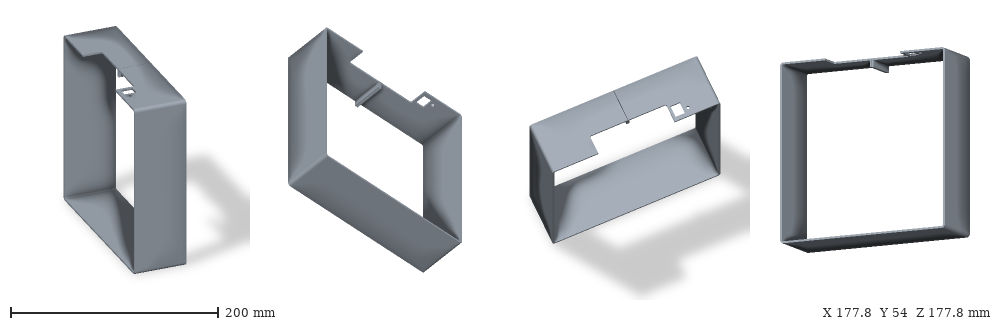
import cadquery as cq

side = 177.8
depth = 54.0
wall = 2.0
outer_radius = 3.4
inner_radius = outer_radius - wall

gap = 0.5
flange_thickness = 1.51
flange_drop = 8.5

notch_width = 80.9
notch_depth = 20.0
notch_radius = 2.0
window_width = 10.1
window_length = 12.3
window_x = 48.4
window_from_front = 10.3
hole_diameter = 3.4
hole_x = 58.1
hole_from_front = 8.2

top = side / 2
front = -depth / 2
cut_height = 4 * flange_drop


def rounded_block(width, radius):
    """Square block centred on the origin, with its edges along Y rounded."""
    return cq.Workplane("XY").box(width, depth, width).edges("|Y").fillet(radius)


def top_cutter(width, length, x, y):
    """Rectangular block that passes through the top wall at (x, y)."""
    return cq.Workplane("XY").box(width, length, cut_height).translate((x, y, top))


def flanges():
    """Solid web below the top wall, later split by the gap into two flanges."""
    width = gap + 2 * flange_thickness
    height = flange_drop - wall / 2
    web = cq.Workplane("XY").box(width, depth, height)
    return web.translate((0, 0, top - flange_drop + height / 2))


def notch():
    """Opening in the front edge with two rounded inner corners."""
    block = top_cutter(notch_width, notch_depth, 0, front + notch_depth / 2)
    return block.edges("|Z and >Y").fillet(notch_radius)


def round_hole():
    """Small round hole beside the window."""
    cylinder = cq.Workplane("XY").circle(hole_diameter / 2).extrude(cut_height)
    return cylinder.translate((hole_x, front + hole_from_front, top - cut_height / 2))


band = rounded_block(side, outer_radius).cut(rounded_block(side - 2 * wall, inner_radius))
band = band.union(flanges())
band = band.cut(top_cutter(gap, depth, 0, 0))
band = band.cut(notch())
band = band.cut(top_cutter(window_width, window_length, window_x, front + window_from_front))
result = band.cut(round_hole())